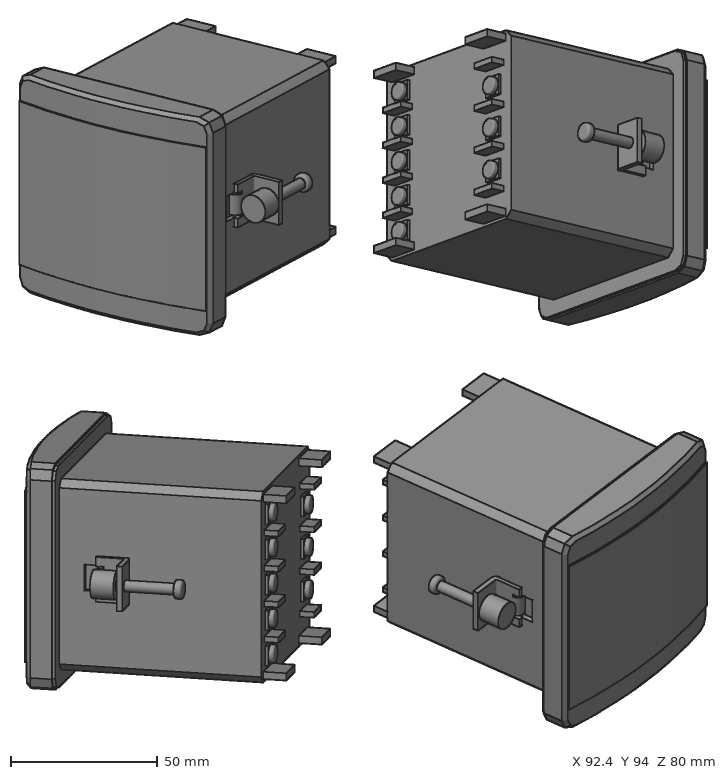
import cadquery as cq
import math


case_half = 33.7
case_flat_half = 31.1
case_corner_radius = math.hypot(case_half, case_flat_half)
case_length = 71.1

bezel_width = 80.0
bezel_half = bezel_width / 2
bezel_corner_start = 35.0
bezel_corner_middle = 38.5
rim_inset = 0.75
rim_depth = 1.1
front_chamfer = 1.4

panel_raise = 0.7
panel_front = 14.85
bezel_front = panel_front - panel_raise
fold_half_widths = [6.1, 13.8, 25.9]
fold_setbacks = [0, 0.5, 1.7]
outer_facet_slope = 0.17
panel_half_width = bezel_half - front_chamfer
panel_half_height = 30.0

tab_width = 11.9
tab_thickness = 2.6
tab_length = 8.1
tab_bottom = 30.0
column_x = 24.8
wall_width = 9.8
wall_thickness = 2.0
wall_length = 5.1
wall_count = 4
terminal_block = 7.0
terminal_block_height = 1.0
terminal_head_radius = 3.2
terminal_head_height = 1.9
terminal_head_fillet = 0.6
left_pitch = 15.0
left_screws = 3
right_pitch = 12.5
right_screws = 5

bracket_thickness = 2.0
bracket_sunk = 0.5
bracket_inner = case_half - bracket_sunk
bracket_outer = bracket_inner + bracket_thickness
bracket_reach = 45.5
bracket_half_height = 7.9
bracket_front = 13.2
bracket_back = 25.1
bend_inner_radius = 0.5
bend_outer_radius = bend_inner_radius + bracket_thickness

notch_depth = 2.8
tongue_half_height = 3.8
pocket_half_height = 4.6
pocket_front = 8.7
pocket_back = bracket_front + notch_depth
pocket_depth = 2.0
pocket_floor = case_half - pocket_depth

foot_radius = 5.0
screw_reach = 46.2
screw_x = screw_reach - foot_radius
foot_front = 13.9
foot_length = 8.2
shank_radius = 2.0
head_radius = 3.3
head_front = 42.6
head_length = 3.0
head_fillet = 0.9


def block(x_range, y_range, z_range):
    """Box between the given limits along X, Y and Z."""
    size = [high - low for low, high in (x_range, y_range, z_range)]
    corner = (x_range[0], y_range[0], z_range[0])
    return cq.Workplane("XY").box(*size, centered=False).translate(corner)


def rod(x, z, radius, start, length):
    """Cylinder along +Y that starts at Y = start."""
    return cq.Workplane("XZ", origin=(x, start, z)).circle(radius).extrude(-length)


def mirrored(body):
    """The same body on the other side of the YZ plane."""
    return body.mirror("YZ")


def case_body():
    bar = block((-case_half, case_half), (0, case_length), (-case_half, case_half))
    return bar.intersect(rod(0, 0, case_corner_radius, 0, case_length))


def bezel_outline(inset):
    """Square with two-facet corners, moved inward by the inset about fixed corner centres."""
    side = bezel_half - inset
    middle = bezel_corner_middle - inset * math.sqrt(0.5)
    corner = [(side, bezel_corner_start), (middle, middle), (bezel_corner_start, side)]
    points = []
    for _ in range(4):
        points += corner
        corner = [(-z, x) for x, z in corner]
    return cq.Workplane("XZ").polyline(points).close()


def faceted_front(half_width, half_height, front):
    """Prism from Y = -rim_depth to a folded front whose middle flat is at Y = -front."""
    last_setback = fold_setbacks[-1] + outer_facet_slope * (half_width - fold_half_widths[-1])
    widths = fold_half_widths + [half_width]
    setbacks = fold_setbacks + [last_setback]
    right = [(x, setback - front) for x, setback in zip(widths, setbacks)]
    right.append((half_width, -rim_depth))
    left = [(-x, y) for x, y in reversed(right)]
    profile = cq.Workplane("XY").polyline(right + left).close()
    return profile.extrude(half_height, both=True)


def is_front_border(edge):
    """True for the edges around the folded front, but not for its folds."""
    centre = edge.Center()
    return centre.y < -bezel_front / 2 and max(abs(centre.x), abs(centre.z)) > bezel_corner_start


def bezel_body():
    shell = bezel_outline(0).extrude(bezel_front)
    shell = shell.intersect(faceted_front(bezel_half, bezel_half, bezel_front))
    shell = shell.edges().filter(is_front_border).chamfer(front_chamfer)
    rim = bezel_outline(rim_inset).extrude(rim_depth)
    raised_panel = faceted_front(panel_half_width, panel_half_height, panel_front)
    return shell.union(rim).union(raised_panel)


def back_tabs():
    tabs = cq.Workplane("XY")
    for side in (-1, 1):
        for level in (-1, 1):
            tab = cq.Workplane("XY").box(tab_width, tab_length, tab_thickness)
            y = case_length + tab_length / 2
            z = tab_bottom + tab_thickness / 2
            tabs = tabs.add(tab.translate((side * column_x, y, level * z)))
    return tabs.combine()


def spread(count, pitch):
    """Positions of evenly spaced items centred on zero."""
    return [(i - (count - 1) / 2) * pitch for i in range(count)]


def terminal_column(x, pitch, screw_count):
    """Column of dividing walls with terminal screws on square blocks between them."""
    column = cq.Workplane("XY")
    for z in spread(wall_count, pitch):
        wall = cq.Workplane("XY").box(wall_width, wall_length, wall_thickness)
        column = column.add(wall.translate((x, case_length + wall_length / 2, z)))
    for z in spread(screw_count, pitch):
        seat = cq.Workplane("XY").box(terminal_block, terminal_block_height, terminal_block)
        head_start = case_length + terminal_block_height
        head = rod(x, z, terminal_head_radius, head_start, terminal_head_height)
        head = head.faces(">Y").edges().fillet(terminal_head_fillet)
        column = column.add(seat.translate((x, case_length + terminal_block_height / 2, z)))
        column = column.add(head)
    return column.combine()


def bracket_body():
    """Bracket on the +X side of the case, with a hole for its screw."""
    angle = (
        cq.Workplane("XY")
        .moveTo(bracket_inner, bracket_front)
        .lineTo(bracket_outer, bracket_front)
        .lineTo(bracket_outer, bracket_back - bracket_thickness)
        .lineTo(bracket_reach, bracket_back - bracket_thickness)
        .lineTo(bracket_reach, bracket_back)
        .lineTo(bracket_inner, bracket_back)
        .close()
        .extrude(bracket_half_height, both=True)
    )
    inner_corner = (bracket_outer, bracket_back - bracket_thickness, 0)
    outer_corner = (bracket_inner, bracket_back, 0)
    angle = angle.edges(cq.NearestToPointSelector(inner_corner)).fillet(bend_inner_radius)
    angle = angle.edges(cq.NearestToPointSelector(outer_corner)).fillet(bend_outer_radius)
    notch = block(
        (bracket_inner, bracket_outer),
        (bracket_front, pocket_back),
        (-pocket_half_height, pocket_half_height),
    )
    hole = rod(screw_x, 0, shank_radius, bracket_back - bracket_thickness, bracket_thickness)
    return angle.cut(notch).union(tongue()).cut(hole)


def tongue():
    """Strip that continues the bracket forward and turns into the pocket."""
    heights = (-tongue_half_height, tongue_half_height)
    flat = block((bracket_inner, bracket_outer), (bracket_front, pocket_back), heights)
    turned_back = bracket_front + bracket_thickness
    turned = block((pocket_floor, bracket_outer), (bracket_front, turned_back), heights)
    strip = flat.union(turned)
    outer_corner = (bracket_outer, bracket_front, 0)
    return strip.edges(cq.NearestToPointSelector(outer_corner)).fillet(bend_outer_radius)


def screw_body():
    """Clamping screw on the +X side, with a round foot in front and a rounded head behind."""
    foot = rod(screw_x, 0, foot_radius, foot_front, foot_length)
    shank_start = foot_front + foot_length
    shank = rod(screw_x, 0, shank_radius, shank_start, head_front - shank_start)
    head = rod(screw_x, 0, head_radius, head_front, head_length)
    head = head.faces("|Y").edges().fillet(head_fillet)
    return foot.union(shank).union(head)


def tongue_pocket():
    """Pocket in the +X side of the case for the bracket's tongue."""
    return block(
        (pocket_floor, case_half),
        (pocket_front, pocket_back),
        (-pocket_half_height, pocket_half_height),
    )


def housing_body(right_bracket):
    housing = case_body().union(bezel_body()).union(back_tabs())
    housing = housing.union(terminal_column(-column_x, left_pitch, left_screws))
    housing = housing.union(terminal_column(column_x, right_pitch, right_screws))
    for recess in (tongue_pocket(), right_bracket):
        housing = housing.cut(recess).cut(mirrored(recess))
    return housing


right_bracket = bracket_body()
right_screw = screw_body()
housing = housing_body(right_bracket)

bodies = [housing.solids().val()]
for body in (right_bracket, right_screw):
    bodies += [body.solids().val(), mirrored(body).solids().val()]

result = cq.Compound.makeCompound(bodies)